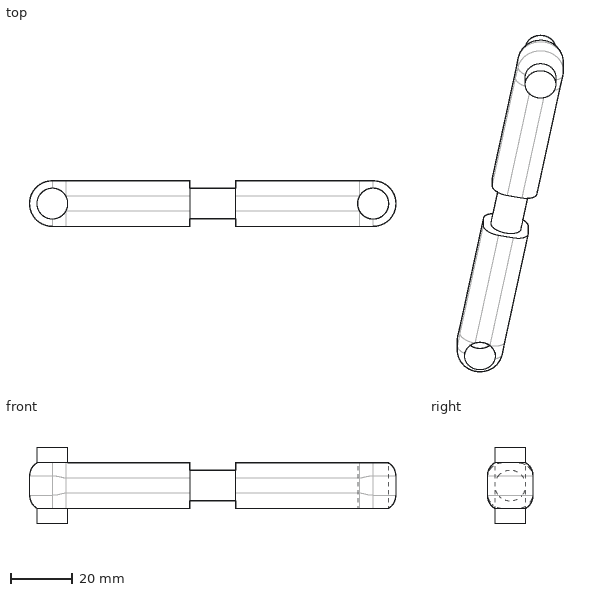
import math

import cadquery as cq

length = 120.0
width = 15.0
pin_height = 25.0
pin_diameter = 10.1
rod_diameter = 10.1
gap = 15.0
edge_radius = 5.0
blend_steps = 6

half_width = width / 2
pin_radius = pin_diameter / 2
body_length = (length - gap) / 2
eye_x = length / 2 - half_width
flat_half = half_width - edge_radius
blend_length = math.sqrt(pin_radius**2 - flat_half**2)


def rounding(top_half):
    """Start height and middle point of the edge arc that ends on the top face at y = top_half.

    The arc has the edge radius and is tangent to the side of the body.
    """
    end_angle = math.acos((top_half - flat_half) / edge_radius)
    side_half = half_width - edge_radius * math.sin(end_angle)
    middle_y = flat_half + edge_radius * math.cos(end_angle / 2)
    middle_z = side_half + edge_radius * math.sin(end_angle / 2)
    return side_half, middle_y, middle_z


def section(top_half):
    """Closed cross-section whose top and bottom flats reach y = +/- top_half."""
    side_half, middle_y, middle_z = rounding(top_half)
    return (
        cq.Workplane("YZ")
        .moveTo(half_width, -side_half)
        .lineTo(half_width, side_half)
        .threePointArc((middle_y, middle_z), (top_half, half_width))
        .lineTo(-top_half, half_width)
        .threePointArc((-middle_y, middle_z), (-half_width, side_half))
        .lineTo(-half_width, -side_half)
        .threePointArc((-middle_y, -middle_z), (-top_half, -half_width))
        .lineTo(top_half, -half_width)
        .threePointArc((middle_y, -middle_z), (half_width, -side_half))
        .close()
    )


def straight_bar():
    """Bar of constant section, from the inner face to the start of the blend."""
    bar_length = eye_x - blend_length - gap / 2
    return section(flat_half).extrude(bar_length).translate((gap / 2, 0, 0))


def blend():
    """Stretch up to the eye axis, where the edge rounding follows the circular rim."""
    wires = []
    for step in range(blend_steps + 1):
        from_axis = blend_length * (1 - step / blend_steps)
        rim_half = math.sqrt(pin_radius**2 - from_axis**2)
        wire = section(rim_half).val()
        wires.append(wire.translate(cq.Vector(eye_x - from_axis, 0, 0)))
    return cq.Workplane(cq.Solid.makeLoft(wires))


def eye_end():
    """Semicircular end, turned about the eye axis, with rounded upper and lower edges."""
    side_half, middle_y, middle_z = rounding(pin_radius)
    return (
        cq.Workplane("YZ", origin=(eye_x, 0, 0))
        .moveTo(0, -half_width)
        .lineTo(-pin_radius, -half_width)
        .threePointArc((-middle_y, -middle_z), (-half_width, -side_half))
        .lineTo(-half_width, side_half)
        .threePointArc((-middle_y, middle_z), (-pin_radius, half_width))
        .lineTo(0, half_width)
        .close()
        .revolve(180, (0, 0), (0, 1))
    )


def upright_cylinder(x, height):
    """Vertical cylinder of pin diameter, centred on the mid-plane."""
    return cq.Workplane("XY").center(x, 0).circle(pin_radius).extrude(height / 2, both=True)


body = straight_bar().union(blend()).union(eye_end())

right_body = body.cut(upright_cylinder(eye_x, width))
left_body = body.mirror("YZ").union(upright_cylinder(-eye_x, pin_height))

rod = cq.Workplane("YZ").circle(rod_diameter / 2).extrude(gap / 2, both=True)

result = left_body.union(rod).union(right_body)